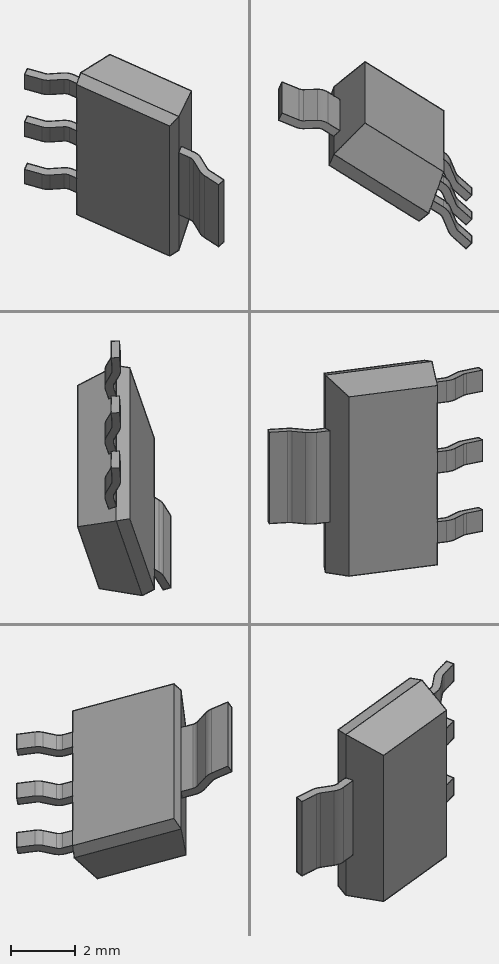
import cadquery as cq
import math

total_height = 1.8
standoff = 0.1

body_width = 3.5
body_length = 6.5
base_depth = 0.405
draft_angle = 13.0
parting_y = standoff + base_depth
cover_depth = total_height - parting_y

lead_span = 7.0
lead_thickness = 0.26
inner_bend_radius = 0.3
outer_bend_radius = inner_bend_radius + lead_thickness
shoulder_end_x = 2.135
slope_length = 0.435
slope_angle = 35.0
foot_angle = 10.0
pin_width = 0.7
pin_pitch = 2.3
pin_count = 3
tab_width = 3.01

shoulder_overrun = 0.105


def make_half(direction, depth):
    """Half of the body, narrowing from the parting plane in the given direction."""
    parting = cq.Plane(origin=(0, parting_y, 0), xDir=(1, 0, 0), normal=direction)
    return cq.Workplane(parting).rect(body_width, body_length).extrude(depth, taper=draft_angle)


def make_body():
    """Two tapered halves joined at the parting plane."""
    base = make_half(cq.Vector(0, -1, 0), base_depth)
    cover = make_half(cq.Vector(0, 1, 0), cover_depth)
    return base.union(cover)


def on_arc(center, radius, angle):
    """Point on a bend, with the angle in degrees measured from +Y toward +X."""
    turn = math.radians(angle)
    return (center[0] + radius * math.sin(turn), center[1] + radius * math.cos(turn))


def make_lead(width, center_z, body):
    """Lead on the +X side, ending flush against the body wall."""
    slope = math.radians(slope_angle)
    foot = math.radians(foot_angle)

    bend_offset = inner_bend_radius + outer_bend_radius
    foot_center_x = shoulder_end_x + bend_offset * math.sin(slope) + slope_length * math.cos(slope)
    tip_x = lead_span / 2 - lead_thickness * math.sin(foot)
    foot_start_x = foot_center_x - outer_bend_radius * math.sin(foot)
    foot_drop = (tip_x - foot_start_x) * math.tan(foot)
    foot_center_y = foot_drop + outer_bend_radius * math.cos(foot)
    shoulder_center_y = foot_center_y + slope_length * math.sin(slope) - bend_offset * math.cos(slope)
    shoulder_center = (shoulder_end_x, shoulder_center_y)
    foot_center = (foot_center_x, foot_center_y)

    shoulder_bottom = shoulder_center_y + inner_bend_radius
    shoulder_top = shoulder_center_y + outer_bend_radius
    inner_x = body_width / 2 - shoulder_overrun
    mid_shoulder_angle = slope_angle / 2
    foot_bend_start = slope_angle + 180
    foot_bend_end = foot_angle + 180
    foot_bend_middle = (foot_bend_start + foot_bend_end) / 2
    tip_top = (lead_span / 2, lead_thickness * math.cos(foot))

    lead = (
        cq.Workplane("XY", origin=(0, 0, center_z))
        .moveTo(inner_x, shoulder_bottom)
        .lineTo(shoulder_end_x, shoulder_bottom)
        .threePointArc(
            on_arc(shoulder_center, inner_bend_radius, mid_shoulder_angle),
            on_arc(shoulder_center, inner_bend_radius, slope_angle),
        )
        .lineTo(*on_arc(foot_center, outer_bend_radius, foot_bend_start))
        .threePointArc(
            on_arc(foot_center, outer_bend_radius, foot_bend_middle),
            on_arc(foot_center, outer_bend_radius, foot_bend_end),
        )
        .lineTo(tip_x, 0)
        .lineTo(*tip_top)
        .lineTo(*on_arc(foot_center, inner_bend_radius, foot_bend_end))
        .threePointArc(
            on_arc(foot_center, inner_bend_radius, foot_bend_middle),
            on_arc(foot_center, inner_bend_radius, foot_bend_start),
        )
        .lineTo(*on_arc(shoulder_center, outer_bend_radius, slope_angle))
        .threePointArc(
            on_arc(shoulder_center, outer_bend_radius, mid_shoulder_angle),
            (shoulder_end_x, shoulder_top),
        )
        .lineTo(inner_x, shoulder_top)
        .close()
        .extrude(width / 2, both=True)
    )
    return lead.cut(body).solids()


def make_pin(center_z, body):
    """Narrow lead on the -X side."""
    return make_lead(pin_width, center_z, body).mirror("YZ")


body = make_body()
tab = make_lead(tab_width, 0, body)
pins = []
for index in range(pin_count):
    pin_z = (index - (pin_count - 1) / 2) * pin_pitch
    pins.append(make_pin(pin_z, body).val())

result = cq.Compound.makeCompound([body.solids().val(), tab.val(), *pins])